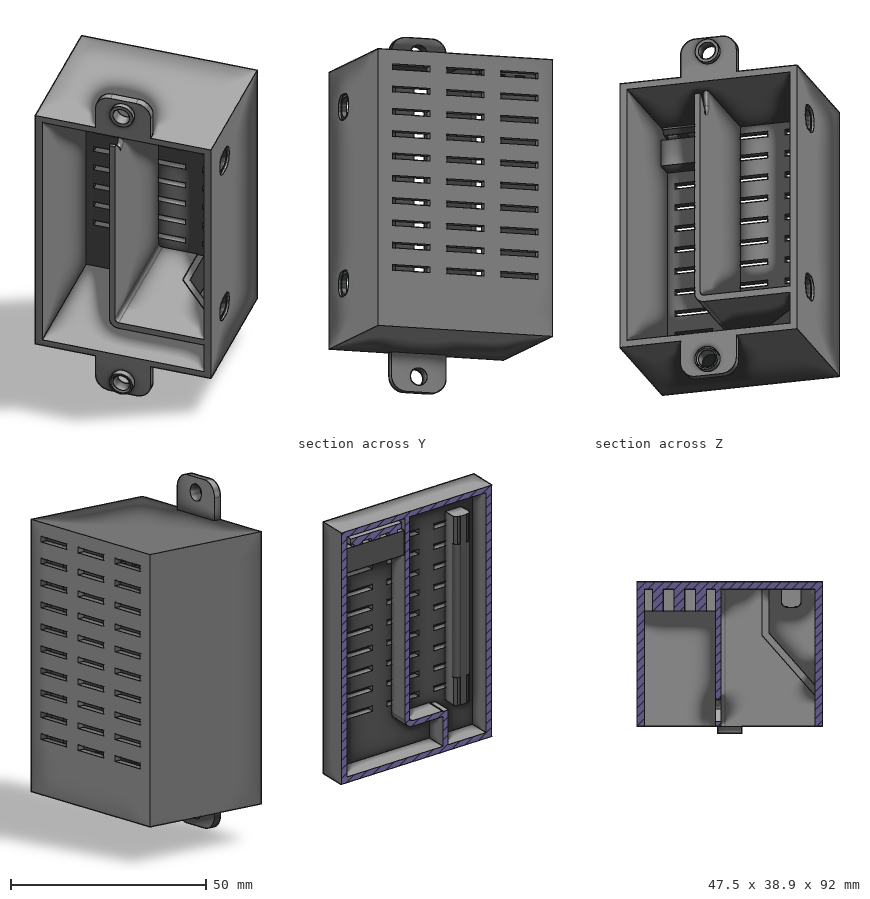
import cadquery as cq
import math

WIDTH = 47.5
HEIGHT = 71.9
DEPTH = 37.1
SIDE_WALL = 1.9
THIN_WALL = 1.75
BACK_WALL = 2.0
INNER_X = WIDTH / 2 - SIDE_WALL
INNER_Z = HEIGHT / 2 - THIN_WALL
BACK_Y = DEPTH - BACK_WALL

TOTAL_HEIGHT = 92.0
EAR_WIDTH = 14.9
EAR_THICKNESS = 2.0
EAR_RADIUS = 4.0
EAR_HOLE_Z = 41.95
COLLAR_DIAMETER = 6.3
EAR_HOLE_DIAMETER = 4.5
TOP_COLLAR_LENGTH = 1.4
BOTTOM_COLLAR_LENGTH = 1.75
COLLAR_CHAMFER = 0.5

PARTITION_THICKNESS = 1.5
PARTITION_LEFT = -3.7
PARTITION_RIGHT = PARTITION_LEFT + PARTITION_THICKNESS
SHELF_TOP = -24.1
SHELF_BOTTOM = SHELF_TOP - THIN_WALL
BEND_INNER_RADIUS = 1.0
BEND_OUTER_RADIUS = BEND_INNER_RADIUS + PARTITION_THICKNESS

NOTCH_LIP_Z = 31.1
NOTCH_LIP_LENGTH = 0.9
NOTCH_SLOPE = 3.5
NOTCH_FLOOR_RADIUS = 2.4

SHAFT_LEFT = 8.3
SHAFT_FRONT_Y = 7.9
SLANT_ANGLE = 48.6
SHAFT_WALL_DROP = 0.2

VENT_LENGTH = 10.1
VENT_HEIGHT = 1.5
VENT_COLUMNS = 3
VENT_ROWS = 10
VENT_PITCH_X = 14.7
VENT_PITCH_Z = 5.8
VENT_CENTER_Z = 5.4

RAIL_X = 15.7
RAIL_WIDTH = 5.0
RAIL_BOTTOM = -24.8
RAIL_TOP = 29.1
RAIL_DEPTH = 4.6
RAIL_FACE_WIDTH = 2.0
RAIL_END_LENGTH = 7.9
RAIL_END_STEP = 0.2
RAIL_END_CHAMFER = 0.7
RAIL_ROUND = (RAIL_WIDTH - RAIL_FACE_WIDTH) / 2

BLOCK_BOTTOM = 23.7
BLOCK_TOP = 30.7
BLOCK_DEPTH = 5.5
BAR_LEFT = -20.8
BAR_RIGHT = -4.6
BAR_BOTTOM = 31.65
BAR_TOP = 33.4
BAR_BEVEL = 1.2
BAR_OVERHANG = 1.8
PEG_WIDTH = 2.85
PEG_PITCH = 5.5
PEG_CENTER_X = -12.9
PEG_OVERHANG = 0.7

CABLE_HOLE_WIDTH = 5.9
CABLE_HOLE_HEIGHT = 5.15
CABLE_HOLE_RADIUS = 2.0
CABLE_HOLE_LAND = 1.3
CABLE_RELIEF_MARGIN = 0.7
CABLE_HOLE_Y = 10.95
CABLE_HOLE_LEVELS = (-20.7, 25.2)


def box(x0, x1, y0, y1, z0, z1):
    """Axis-aligned block between opposite corners."""
    return cq.Workplane("XY").box(x1 - x0, y1 - y0, z1 - z0, centered=False).translate((x0, y0, z0))


def front_cylinder(diameter, y0, y1, z):
    """Cylinder along Y on the centre line of the part."""
    return cq.Workplane("XZ", origin=(0, y1, z)).circle(diameter / 2).extrude(y1 - y0)


def shell():
    outer = box(-WIDTH / 2, WIDTH / 2, 0, DEPTH, -HEIGHT / 2, HEIGHT / 2)
    return outer.cut(box(-INNER_X, INNER_X, 0, BACK_Y, -INNER_Z, INNER_Z))


def ears():
    bar = box(-EAR_WIDTH / 2, EAR_WIDTH / 2, 0, EAR_THICKNESS, -TOTAL_HEIGHT / 2, TOTAL_HEIGHT / 2)
    bar = bar.edges("|Y").fillet(EAR_RADIUS)
    return bar.cut(box(-WIDTH / 2, WIDTH / 2, 0, EAR_THICKNESS, -HEIGHT / 2, HEIGHT / 2))


def partition():
    bend = box(PARTITION_LEFT, INNER_X, 0, BACK_Y, SHELF_BOTTOM, INNER_Z)
    bend = bend.edges("|Y and <X and <Z").fillet(BEND_OUTER_RADIUS)
    inside = box(PARTITION_RIGHT, INNER_X, 0, BACK_Y, SHELF_TOP, INNER_Z)
    inside = inside.edges("|Y and <X and <Z").fillet(BEND_INNER_RADIUS)
    return bend.cut(inside)


def notched_partition():
    """Partition with the cable notch cut and a round bead along the back edge of the notch."""
    foot_y = NOTCH_LIP_LENGTH + NOTCH_SLOPE
    foot_z = NOTCH_LIP_Z - NOTCH_SLOPE
    center_z = foot_z + NOTCH_FLOOR_RADIUS
    bead_radius = PARTITION_THICKNESS / 2
    bend = NOTCH_FLOOR_RADIUS + bead_radius
    bend_middle = (foot_y + bend * math.sin(math.pi / 4), center_z - bend * math.cos(math.pi / 4))
    notch = (
        cq.Workplane("YZ", origin=(PARTITION_LEFT, 0, 0))
        .moveTo(0, INNER_Z)
        .lineTo(0, NOTCH_LIP_Z)
        .lineTo(NOTCH_LIP_LENGTH, NOTCH_LIP_Z)
        .lineTo(foot_y, foot_z)
        .lineTo(foot_y, center_z - bend)
        .threePointArc(bend_middle, (foot_y + bend, center_z))
        .lineTo(foot_y + bend, INNER_Z)
        .close()
        .extrude(PARTITION_THICKNESS)
    )
    path = (
        cq.Workplane("YZ", origin=(PARTITION_LEFT + bead_radius, 0, 0))
        .moveTo(foot_y, center_z - bend)
        .threePointArc(bend_middle, (foot_y + bend, center_z))
        .lineTo(foot_y + bend, INNER_Z)
    )
    section = cq.Workplane("XZ", origin=(PARTITION_LEFT + bead_radius, foot_y, center_z - bend))
    bead = section.circle(bead_radius).sweep(path)
    return partition().cut(notch).union(bead)


def shaft_prism(inset, z0, z1):
    """Upright prism filling the shaft; inset moves its slanted and left sides inwards."""
    slant = math.radians(SLANT_ANGLE)
    front_y = SHAFT_FRONT_Y + inset / math.cos(slant)
    left = SHAFT_LEFT + inset
    left_y = front_y + (INNER_X - left) * math.tan(slant)
    plan = cq.Workplane("XY", origin=(0, 0, z0))
    plan = plan.polyline([(INNER_X, front_y), (INNER_X, BACK_Y), (left, BACK_Y), (left, left_y)])
    return plan.close().extrude(z1 - z0)


def shaft_wall():
    top = SHELF_TOP - SHAFT_WALL_DROP
    return shaft_prism(0, -INNER_Z, top).cut(shaft_prism(THIN_WALL, -INNER_Z, top))


def vents():
    layout = cq.Workplane("XZ", origin=(0, DEPTH, VENT_CENTER_Z))
    layout = layout.rarray(VENT_PITCH_X, VENT_PITCH_Z, VENT_COLUMNS, VENT_ROWS)
    return layout.rect(VENT_LENGTH, VENT_HEIGHT).extrude(BACK_WALL)


def rail():
    left = RAIL_X - RAIL_WIDTH / 2
    right = RAIL_X + RAIL_WIDTH / 2
    front = BACK_Y - RAIL_DEPTH
    half_face = RAIL_FACE_WIDTH / 2
    core = box(RAIL_X - half_face, RAIL_X + half_face, front, BACK_Y, RAIL_BOTTOM, RAIL_TOP)
    middle = box(left, right, front, BACK_Y, RAIL_BOTTOM + RAIL_END_LENGTH, RAIL_TOP - RAIL_END_LENGTH)
    solid = core.union(middle.edges("|Z and <Y").fillet(RAIL_ROUND))
    for z0 in (RAIL_BOTTOM, RAIL_TOP - RAIL_END_LENGTH):
        end = box(left, right, front + RAIL_END_STEP, BACK_Y, z0, z0 + RAIL_END_LENGTH)
        solid = solid.union(end.edges("|Z and <Y").chamfer(RAIL_END_CHAMFER))
    return solid


def pegged_block():
    front = BACK_Y - BLOCK_DEPTH
    solid = box(-INNER_X, PARTITION_LEFT, front, BACK_Y, BLOCK_BOTTOM, BLOCK_TOP)
    bar = box(BAR_LEFT, BAR_RIGHT, front - BAR_OVERHANG, BACK_Y, BAR_BOTTOM, BAR_TOP)
    solid = solid.union(bar.edges("|X and <Y and <Z").chamfer(BAR_BEVEL))
    for step in (-1, 0, 1):
        x0 = PEG_CENTER_X + step * PEG_PITCH - PEG_WIDTH / 2
        peg = box(x0, x0 + PEG_WIDTH, front - PEG_OVERHANG, BACK_Y, BLOCK_TOP, BAR_BOTTOM)
        solid = solid.union(peg.edges("|X and <Y and <Z").fillet(PEG_OVERHANG))
    return solid


def add_collar(body, z, length):
    """Body with a collar on the ear at height z and a hole through both."""
    body = body.union(front_cylinder(COLLAR_DIAMETER, -length, EAR_THICKNESS, z))
    return body.cut(front_cylinder(EAR_HOLE_DIAMETER, -length, EAR_THICKNESS, z))


def collar_countersink(z, length):
    hole_radius = EAR_HOLE_DIAMETER / 2
    mouth_radius = hole_radius + COLLAR_CHAMFER
    mouth = cq.Vector(0, -length, z)
    cone = cq.Solid.makeCone(mouth_radius, hole_radius, COLLAR_CHAMFER, mouth, cq.Vector(0, 1, 0))
    return cq.Workplane(obj=cone)


def rounded_slot(x0, x1, z, margin):
    """Rounded opening along X, larger than the cable hole by the margin on every side."""
    half_width = CABLE_HOLE_WIDTH / 2 + margin
    half_height = CABLE_HOLE_HEIGHT / 2 + margin
    y0 = CABLE_HOLE_Y - half_width
    y1 = CABLE_HOLE_Y + half_width
    slot = box(x0, x1, y0, y1, z - half_height, z + half_height)
    return slot.edges("|X").fillet(CABLE_HOLE_RADIUS + margin)


def cable_hole(z):
    """Hole through the right wall, relieved from outside so that a thin land remains."""
    hole = rounded_slot(INNER_X, WIDTH / 2, z, 0)
    return hole.union(rounded_slot(INNER_X + CABLE_HOLE_LAND, WIDTH / 2, z, CABLE_RELIEF_MARGIN))


result = shell().union(ears())
result = result.union(notched_partition())
result = result.cut(shaft_prism(0, SHELF_BOTTOM, SHELF_TOP)).union(shaft_wall())
result = result.cut(vents()).union(rail()).union(pegged_block())
result = add_collar(result, EAR_HOLE_Z, TOP_COLLAR_LENGTH)
result = add_collar(result, -EAR_HOLE_Z, BOTTOM_COLLAR_LENGTH)
result = result.cut(collar_countersink(-EAR_HOLE_Z, BOTTOM_COLLAR_LENGTH))
for level in CABLE_HOLE_LEVELS:
    result = result.cut(cable_hole(level))